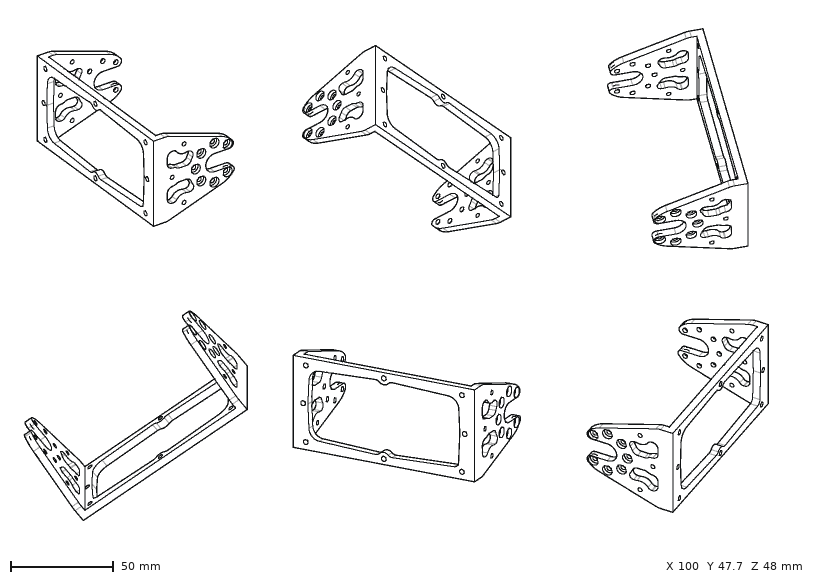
import cadquery as cq
import math

width = 100.0
height = 48.0
thickness = 4.0
half_width = width / 2
half_height = height / 2

frame_hole_diameter = 2.5
corner_hole_x = 43.0
corner_hole_z = 20.0
side_hole_x = 44.5
middle_hole_z = 21.0
opening_middle_x = 41.8
opening_middle_z = 19.7
opening_corner_x = 41.0
opening_corner_z = 18.0
opening_radius = 6.0
odd_opening_radius = 2.5
boss_radius = 3.4
boss_blend_radius = 3.0

pivot_y = 36.0
nose_radius = 14.0
fork_half_gap = 5.1
shoulder_y = 8.0
shoulder_radius = 8.0
finger_tip_radius = 2.5
odd_finger_tip_radius = 2.0

pivot_circle_radius = 11.0
pivot_hole_count = 8
pivot_hole_diameter = 2.5
counterbore_diameter = 5.2
counterbore_depth = 2.0

plate_hole_diameter = 2.2
outer_hole_y = 18.0
outer_hole_z = 16.5
center_hole_y = 11.0

window_front_y = 8.2
window_bottom_z = 3.9
window_top_z = 14.6
window_shelf_z = 11.5
window_pivot_clearance = 15.0
outer_hole_clearance = 5.3
center_hole_clearance = 5.2
window_radius = 3.0
window_top_blend_radius = 2.5
window_tip_radius = 2.2
odd_window_tip_radius = 2.7


def side_disc(y, z, radius, depth=thickness):
    """Disc reaching from X = 0 into a side plate, right through it by default."""
    return cq.Workplane("YZ").center(y, z).circle(radius).extrude(depth)


def fillet_edge(body, point, direction, radius):
    """Round the edge of the given direction that is nearest to a point."""
    edge = cq.selectors.NearestToPointSelector(point)
    return body.newObject(body.edges("|" + direction).edges(edge).vals()).fillet(radius)


def frame_opening():
    """Opening with slightly peaked sides and a notch around each middle hole."""
    outline = [
        (-opening_corner_x, opening_corner_z),
        (0, opening_middle_z),
        (opening_corner_x, opening_corner_z),
        (opening_middle_x, 0),
        (opening_corner_x, -opening_corner_z),
        (0, -opening_middle_z),
        (-opening_corner_x, -opening_corner_z),
        (-opening_middle_x, 0),
    ]
    opening = cq.Workplane("XZ").polyline(outline).close().extrude(-thickness)
    bosses = (
        cq.Workplane("XZ")
        .pushPoints([(0, middle_hole_z), (0, -middle_hole_z)])
        .circle(boss_radius)
        .extrude(-thickness)
    )
    opening = opening.cut(bosses)
    boss_edge_x = math.sqrt(boss_radius**2 - (middle_hole_z - opening_middle_z) ** 2)
    for side_x in (-1, 1):
        for side_z in (-1, 1):
            is_odd_corner = side_x > 0 and side_z < 0
            corner_radius = odd_opening_radius if is_odd_corner else opening_radius
            corner = (side_x * opening_corner_x, thickness / 2, side_z * opening_corner_z)
            boss_edge = (side_x * boss_edge_x, thickness / 2, side_z * opening_middle_z)
            opening = fillet_edge(opening, corner, "Y", corner_radius)
            opening = fillet_edge(opening, boss_edge, "Y", boss_blend_radius)
    return opening


def front_frame():
    frame = cq.Workplane("XY").box(width, thickness, height).translate((0, thickness / 2, 0))
    corner_holes = [
        (side_x * corner_hole_x, side_z * corner_hole_z)
        for side_x in (-1, 1)
        for side_z in (-1, 1)
    ]
    middle_holes = [(-side_hole_x, 0), (side_hole_x, 0), (0, -middle_hole_z), (0, middle_hole_z)]
    holes = (
        cq.Workplane("XZ")
        .pushPoints(corner_holes + middle_holes)
        .circle(frame_hole_diameter / 2)
        .extrude(-thickness)
    )
    return frame.cut(frame_opening()).cut(holes)


def plate_outline(lower_tip_radius):
    """Tapered plate with a round nose, split by the fork into two fingers."""
    shoulder_offset = pivot_y - shoulder_y
    shoulder_distance = math.hypot(shoulder_offset, half_height)
    slope = math.atan2(half_height, shoulder_offset) - math.asin(nose_radius / shoulder_distance)
    tangent_y = pivot_y + nose_radius * math.sin(slope)
    tangent_z = nose_radius * math.cos(slope)
    plate = (
        cq.Workplane("YZ")
        .moveTo(0, -half_height)
        .lineTo(shoulder_y, -half_height)
        .lineTo(tangent_y, -tangent_z)
        .threePointArc((pivot_y + nose_radius, 0), (tangent_y, tangent_z))
        .lineTo(shoulder_y, half_height)
        .lineTo(0, half_height)
        .close()
        .extrude(thickness)
    )
    fork_gap = (
        cq.Workplane("YZ")
        .center(pivot_y + nose_radius / 2, 0)
        .rect(nose_radius, 2 * fork_half_gap)
        .extrude(thickness)
    )
    plate = plate.cut(fork_gap).cut(side_disc(pivot_y, 0, fork_half_gap))

    finger_tip_y = pivot_y + math.sqrt(nose_radius**2 - fork_half_gap**2)
    for side, tip_radius in ((1, finger_tip_radius), (-1, lower_tip_radius)):
        shoulder = (thickness / 2, shoulder_y, side * half_height)
        finger_tip = (thickness / 2, finger_tip_y, side * fork_half_gap)
        plate = fillet_edge(plate, shoulder, "X", shoulder_radius)
        plate = fillet_edge(plate, finger_tip, "X", tip_radius)
    return plate


def window(tip_radius):
    """Upper window, shaped to leave even walls around the neighbouring holes."""
    outline = [
        (window_front_y, window_bottom_z),
        (pivot_y, window_bottom_z),
        (pivot_y, window_shelf_z),
        (outer_hole_y, window_shelf_z),
        (outer_hole_y, window_top_z),
        (window_front_y, window_top_z),
    ]
    body = (
        cq.Workplane("YZ")
        .polyline(outline)
        .close()
        .extrude(thickness)
        .cut(side_disc(pivot_y, 0, window_pivot_clearance))
        .cut(side_disc(outer_hole_y, outer_hole_z, outer_hole_clearance))
        .cut(side_disc(center_hole_y, 0, center_hole_clearance))
    )
    tip_y = pivot_y - math.sqrt(window_pivot_clearance**2 - window_shelf_z**2)
    rear_bottom_y = pivot_y - math.sqrt(window_pivot_clearance**2 - window_bottom_z**2)
    bottom_blend_y = center_hole_y + math.sqrt(center_hole_clearance**2 - window_bottom_z**2)
    top_blend_y = outer_hole_y - math.sqrt(outer_hole_clearance**2 - (outer_hole_z - window_top_z) ** 2)
    front_bottom_z = math.sqrt(center_hole_clearance**2 - (center_hole_y - window_front_y) ** 2)
    corners = [
        (tip_y, window_shelf_z, tip_radius),
        (rear_bottom_y, window_bottom_z, window_radius),
        (bottom_blend_y, window_bottom_z, window_radius),
        (window_front_y, front_bottom_z, window_radius),
        (window_front_y, window_top_z, window_radius),
        (top_blend_y, window_top_z, window_top_blend_radius),
    ]
    for y, z, radius in corners:
        body = fillet_edge(body, (thickness / 2, y, z), "X", radius)
    return body


def drill_pivot_holes(plate):
    """Holes on the pivot circle, counterbored from X = 0; the fork's open side has none."""
    for index in range(1, pivot_hole_count):
        angle = 2 * math.pi * index / pivot_hole_count
        y = pivot_y + pivot_circle_radius * math.cos(angle)
        z = pivot_circle_radius * math.sin(angle)
        plate = plate.cut(side_disc(y, z, pivot_hole_diameter / 2))
        plate = plate.cut(side_disc(y, z, counterbore_diameter / 2, counterbore_depth))
    return plate


def side_plate(lower_tip_radius, upper_window_tip_radius):
    """Side plate with its outer face on X = 0 and its inner face towards +X."""
    plate = plate_outline(lower_tip_radius)
    plate = plate.cut(window(upper_window_tip_radius))
    plate = plate.cut(window(window_tip_radius).mirror("XY"))
    plate = drill_pivot_holes(plate)
    for y, z in ((outer_hole_y, outer_hole_z), (outer_hole_y, -outer_hole_z), (center_hole_y, 0)):
        plate = plate.cut(side_disc(y, z, plate_hole_diameter / 2))
    return plate


left_plate = side_plate(finger_tip_radius, window_tip_radius).translate((-half_width, 0, 0))
right_plate = side_plate(odd_finger_tip_radius, odd_window_tip_radius).mirror("YZ")
right_plate = right_plate.translate((half_width, 0, 0))

result = front_frame().union(left_plate).union(right_plate)